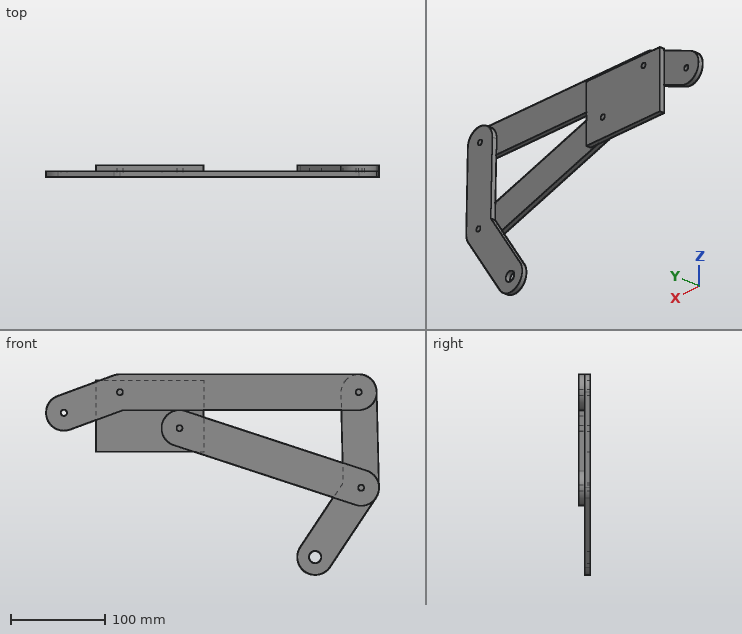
import cadquery as cq
import math

thickness = 6.5
bar_radius = 19.0
pin_diameter = 6.5
end_hole_diameter = 12.8

upper_plate_pivot = (0, 0)
lower_plate_pivot = (63.5, -38.3)
upper_lever_pivot = (254.0, 0)
lower_lever_pivot = (256.5, -101.7)
pivots = [upper_plate_pivot, lower_plate_pivot, upper_lever_pivot, lower_lever_pivot]

upper_bar_tip = (-59.5, -22.0)
lever_tip = (207.5, -175.5)

plate_length = 114.5
plate_height = 76.0
plate_left = -25.5
plate_top = 12.8

front_layer = -thickness
back_layer = 0


def plane_at(y):
    """XZ plane at depth y; extruding goes toward -Y."""
    return cq.Workplane("XZ", origin=(0, y, 0))


def straight_arm(start, end, front):
    """Flat arm with a round end about each of its two centres."""
    run = end[0] - start[0]
    rise = end[1] - start[1]
    middle = ((start[0] + end[0]) / 2, (start[1] + end[1]) / 2)
    overall_length = math.hypot(run, rise) + 2 * bar_radius
    angle = math.degrees(math.atan2(rise, run))
    return (
        plane_at(front + thickness)
        .center(*middle)
        .slot2D(overall_length, 2 * bar_radius, angle)
        .extrude(thickness)
    )


def bent_arm(start, bend, end, front):
    """Two straight arms joined into one body about the bend centre."""
    return straight_arm(start, bend, front).union(straight_arm(bend, end, front))


def round_bars(centres, diameter):
    """Cylinders along Y, as deep as both layers together."""
    return plane_at(thickness).pushPoints(centres).circle(diameter / 2).extrude(2 * thickness)


def make_base_plate():
    centre = (plate_left + plate_length / 2, plate_top - plate_height / 2)
    plate = plane_at(back_layer + thickness).center(*centre).rect(plate_length, plate_height).extrude(thickness)
    return plate.cut(round_bars([upper_plate_pivot, lower_plate_pivot], pin_diameter))


def make_upper_bar():
    bar = bent_arm(upper_bar_tip, upper_plate_pivot, upper_lever_pivot, front_layer)
    return bar.cut(round_bars([upper_bar_tip, upper_plate_pivot, upper_lever_pivot], pin_diameter))


def make_lower_link():
    link = straight_arm(lower_plate_pivot, lower_lever_pivot, front_layer)
    return link.cut(round_bars([lower_plate_pivot, lower_lever_pivot], pin_diameter))


def make_lever():
    lever = bent_arm(upper_lever_pivot, lower_lever_pivot, lever_tip, back_layer)
    lever = lever.cut(round_bars([upper_lever_pivot, lower_lever_pivot], pin_diameter))
    return lever.cut(round_bars([lever_tip], end_hole_diameter))


def make_pin(pivot):
    """Pivot pin, flush with the outer faces of both layers."""
    return round_bars([pivot], pin_diameter)


base_plate = make_base_plate()
upper_bar = make_upper_bar()
lower_link = make_lower_link()
lever = make_lever()
pins = [make_pin(pivot).val() for pivot in pivots]

result = cq.Compound.makeCompound(
    [base_plate.val(), upper_bar.val(), lower_link.val(), lever.val(), *pins]
)